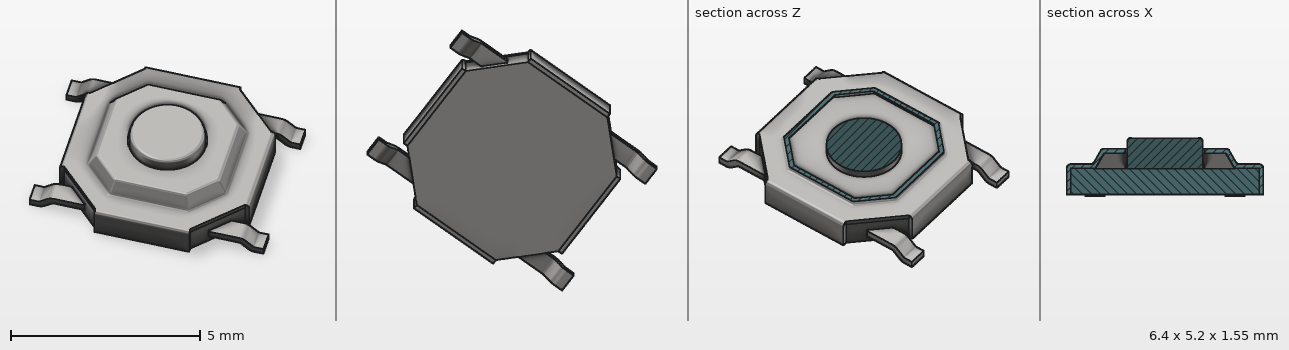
import cadquery as cq
import math

body_bottom = 0.045
plate_top = 0.86
dome_top = 1.26
button_top = 1.55

sheet = 0.12
cover_width = 5.2
flap_length = 2.6
dome_half_width = 1.91
dome_half_flat = 1.08
dome_taper = 30.0
dome_fillet = 0.11
dome_foot_fillet = 0.09

button_diameter = 2.0
button_hole_diameter = 2.1
button_fillet = 0.1

lead_span = 6.4
lead_thickness = 0.2
lead_width = 0.52
lead_spacing = 3.7
lead_rise = 0.25
foot_length = 0.23
bend_angle = 40.0
inner_bend_radius = 0.09
lead_inner_end = 1.695

plate_bottom = plate_top - sheet
plate_half_width = cover_width / 2 - sheet
plate_half_flat = flap_length / 2


def octagon(half_width, half_flat, z):
    """Octagon with equal straight sides along X and Y, and 45 degree corners."""
    corner_cut = half_width - half_flat
    square = cq.Sketch().rect(2 * half_width, 2 * half_width)
    outline = square.vertices().chamfer(corner_cut)
    return cq.Workplane("XY").workplane(offset=z).placeSketch(outline)


def dome(half_width, half_flat, bottom, top):
    """Octagonal frustum whose sides all lean in by the dome taper."""
    return octagon(half_width, half_flat, bottom).extrude(top - bottom, taper=dome_taper)


def plate_with_solid_dome():
    """Flat plate with the dome raised on it, before hollowing, with every dome edge rounded."""
    plate = octagon(plate_half_width, plate_half_flat, plate_bottom).extrude(sheet)
    raised = dome(dome_half_width, dome_half_flat, plate_top, dome_top)
    raised = raised.edges("not #Z").fillet(dome_fillet)
    raised = raised.faces(">Z").edges().fillet(dome_fillet)
    foot_reach = (dome_half_width + plate_half_width) / 2
    margin = sheet / 2
    foot_edges = cq.selectors.BoxSelector(
        (-foot_reach, -foot_reach, plate_top - margin),
        (foot_reach, foot_reach, plate_top + margin),
        boundingbox=True,
    )
    return plate.union(raised).edges(foot_edges).fillet(dome_foot_fillet)


def dome_inside():
    """Hollow under the dome that leaves the sheet thickness all round."""
    inset = sheet * math.tan(math.radians((90 - dome_taper) / 2))
    flat_inset = inset * math.tan(math.radians(45 / 2))
    return dome(dome_half_width - inset, dome_half_flat - flat_inset, plate_bottom, dome_top - sheet)


def flap():
    """Side flap on +X, bent down from the plate with a rounded outer corner."""
    outer = plate_half_width + sheet
    return (
        cq.Workplane("XZ", origin=(0, flap_length / 2, 0))
        .moveTo(plate_half_width, body_bottom)
        .lineTo(outer, body_bottom)
        .lineTo(outer, plate_bottom)
        .radiusArc((plate_half_width, plate_top), -sheet)
        .close()
        .extrude(flap_length)
    )


def build_cover():
    cover = plate_with_solid_dome().cut(dome_inside())
    for quarter in range(4):
        cover = cover.union(flap().rotate((0, 0, 0), (0, 0, 1), 90 * quarter))
    button_hole = (
        cq.Workplane("XY")
        .workplane(offset=plate_bottom)
        .circle(button_hole_diameter / 2)
        .extrude(button_top - plate_bottom)
    )
    return cover.cut(button_hole)


def build_button():
    return (
        cq.Workplane("XY")
        .workplane(offset=plate_bottom)
        .circle(button_diameter / 2)
        .extrude(button_top - plate_bottom)
        .faces(">Z")
        .edges()
        .fillet(button_fillet)
    )


def build_lead(side_x, side_y):
    """Gull-wing lead: foot, lower bend, slope, upper bend and a straight shank into the base."""
    angle = math.radians(bend_angle)
    outer_bend_radius = inner_bend_radius + lead_thickness
    bend_run = (inner_bend_radius + outer_bend_radius) * math.sin(angle)
    bend_rise = (inner_bend_radius + outer_bend_radius) * (1 - math.cos(angle))
    slope_rise = lead_rise - bend_rise
    slope_run = slope_rise / math.tan(angle)

    foot_end = lead_span / 2
    lower_bend = foot_end - foot_length
    upper_bend = lower_bend - bend_run - slope_run
    shank_top = lead_rise + lead_thickness

    def lower_point(radius):
        """Where the lower bend meets the slope; its centre is above the foot."""
        height = lead_thickness + inner_bend_radius - radius * math.cos(angle)
        return (lower_bend - radius * math.sin(angle), height)

    def upper_point(radius):
        """Where the upper bend meets the slope; its centre is below the shank."""
        height = lead_rise - inner_bend_radius + radius * math.cos(angle)
        return (upper_bend + radius * math.sin(angle), height)

    profile = (
        cq.Workplane("XZ", origin=(0, lead_width / 2, 0))
        .moveTo(foot_end, 0)
        .lineTo(lower_bend, 0)
        .radiusArc(lower_point(outer_bend_radius), outer_bend_radius)
        .lineTo(*upper_point(inner_bend_radius))
        .radiusArc((upper_bend, lead_rise), -inner_bend_radius)
        .lineTo(lead_inner_end, lead_rise)
        .lineTo(lead_inner_end, shank_top)
        .lineTo(upper_bend, shank_top)
        .radiusArc(upper_point(outer_bend_radius), outer_bend_radius)
        .lineTo(*lower_point(inner_bend_radius))
        .radiusArc((lower_bend, lead_thickness), -inner_bend_radius)
        .lineTo(foot_end, lead_thickness)
        .close()
    )
    lead = profile.extrude(lead_width)
    if side_x < 0:
        lead = lead.mirror("YZ")
    return lead.translate((0, side_y * lead_spacing / 2, 0))


def build_base(leads):
    """Octagonal block under the cover, with a pocket for the end of each lead."""
    height = plate_bottom - body_bottom
    base = octagon(plate_half_width, plate_half_flat, body_bottom).extrude(height)
    for lead in leads:
        base = base.cut(lead)
    return base


cover = build_cover()
button = build_button()
leads = [build_lead(side_x, side_y) for side_x in (-1, 1) for side_y in (-1, 1)]
base = build_base(leads)

result = cq.Compound.makeCompound(
    [cover.val(), base.val(), button.val(), *[lead.val() for lead in leads]]
)